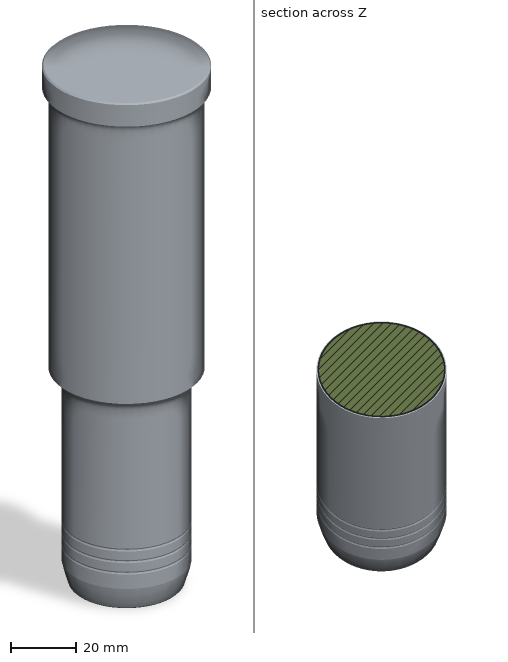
import cadquery as cq

total_length = 180.0
head_diameter = 52.0
head_height = 8.0
body_diameter = 48.0
body_length = 98.0
pin_diameter = 40.0

head_chamfer = 0.5
body_chamfer = 0.5
relief_width = 1.0
relief_depth = 0.5

nose_length = 8.0
nose_diameter = 36.0
nose_bulge = 0.2
nose_chamfer = 0.5

groove_count = 3
groove_pitch = 4.0
groove_width = 1.0
groove_depth = 0.25
first_groove_bottom = 13.0

head_radius = head_diameter / 2
body_radius = body_diameter / 2
pin_radius = pin_diameter / 2
nose_radius = nose_diameter / 2
head_bottom = total_length - head_height
body_bottom = head_bottom - body_length


def make_nose(profile):
    """Add the chamfered end face and the slightly convex lead-in up to the pin."""
    mid_radius = (nose_radius + pin_radius) / 2 + nose_bulge
    mid_height = (nose_chamfer + nose_length) / 2
    return (
        profile.lineTo(nose_radius - nose_chamfer, 0)
        .lineTo(nose_radius, nose_chamfer)
        .threePointArc((mid_radius, mid_height), (pin_radius, nose_length))
    )


def make_groove(profile, bottom):
    """Add one V-shaped groove to the pin outline, starting at the given level."""
    return (
        profile.lineTo(pin_radius, bottom)
        .lineTo(pin_radius - groove_depth, bottom + groove_width / 2)
        .lineTo(pin_radius, bottom + groove_width)
    )


def make_pin(profile):
    """Add the grooved pin and the relief below the body shoulder."""
    for index in range(groove_count):
        profile = make_groove(profile, first_groove_bottom + index * groove_pitch)
    return (
        profile.lineTo(pin_radius, body_bottom - relief_width)
        .lineTo(pin_radius - relief_depth, body_bottom - relief_width)
        .lineTo(pin_radius - relief_depth, body_bottom)
    )


def make_body(profile):
    """Add the body, chamfered at both ends, with a short neck under the head."""
    neck_radius = body_radius - body_chamfer
    return (
        profile.lineTo(body_radius - body_chamfer, body_bottom)
        .lineTo(body_radius, body_bottom + body_chamfer)
        .lineTo(body_radius, head_bottom - relief_width)
        .lineTo(neck_radius, head_bottom - relief_width + body_chamfer)
        .lineTo(neck_radius, head_bottom)
    )


def make_head(profile):
    """Add the head with its chamfered top edge."""
    return (
        profile.lineTo(head_radius, head_bottom)
        .lineTo(head_radius, total_length - head_chamfer)
        .lineTo(head_radius - head_chamfer, total_length)
        .lineTo(0, total_length)
    )


half_section = cq.Workplane("XZ")
for add_section in (make_nose, make_pin, make_body, make_head):
    half_section = add_section(half_section)

result = half_section.close().revolve(360, (0, 0, 0), (0, 1, 0))